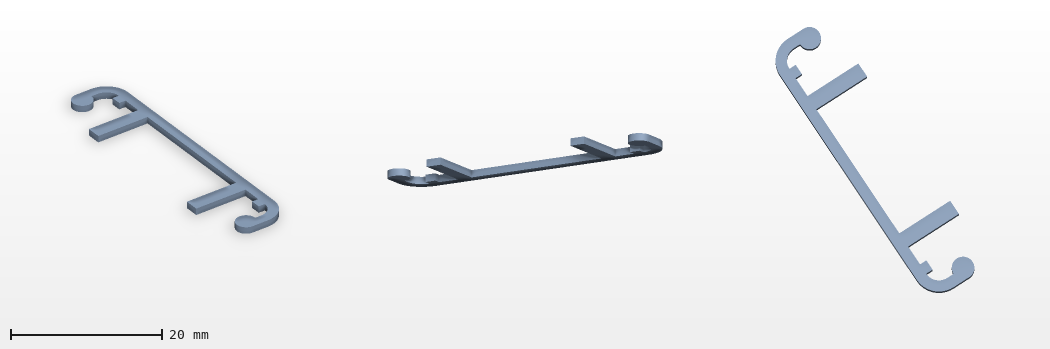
import cadquery as cq

length = 40.0
depth = 9.5
thickness = 1.0

bead_diameter = 3.0
bead_radius = bead_diameter / 2
wall = bead_radius
inner_corner_radius = 2.0
outer_corner_radius = inner_corner_radius + wall
bead_drop = 6.0

leg_spacing = 20.0
leg_width = 2.1
lug_width = wall
lug_height = 1.0

half_length = length / 2
back_y = depth / 2
wall_inner_y = back_y - wall
bead_x = half_length - bead_radius
bead_y = back_y - bead_drop
leg_x = (leg_spacing + leg_width) / 2
lug_x = half_length - outer_corner_radius - lug_width / 2


def block(x_center, y_top, width, height):
    """Full-thickness block hanging down from y_top."""
    return (
        cq.Workplane("XY")
        .center(x_center, y_top - height / 2)
        .rect(width, height)
        .extrude(thickness)
    )


def bracket_wall():
    """Back wall with both ends curving forward to the bead centres."""
    outer = block(0, back_y, length, bead_drop)
    outer = outer.edges("|Z and >Y").fillet(outer_corner_radius)
    inner = block(0, wall_inner_y, length - 2 * wall, bead_drop - wall)
    inner = inner.edges("|Z and >Y").fillet(inner_corner_radius)
    return outer.cut(inner)


def bead(x_center):
    return cq.Workplane("XY").center(x_center, bead_y).circle(bead_radius).extrude(thickness)


result = bracket_wall()
for side in (-1, 1):
    result = result.union(bead(side * bead_x))
    result = result.union(block(side * leg_x, back_y, leg_width, depth))
    result = result.union(block(side * lug_x, back_y, lug_width, wall + lug_height))

result = result.clean()